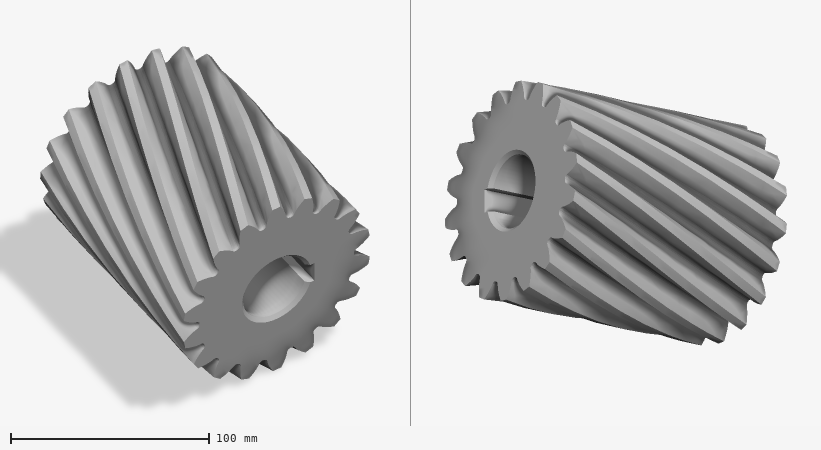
import cadquery as cq
import math

face_width = 131.4
tooth_count = 18
tip_diameter = 113.1
root_radius = 46.5
base_radius = 46.4
flank_start_radius = 47.8
root_floor_width = 0.7
base_gap_angle = 4.9
twist_angle = 53.8
first_gap_angle = 86.5
flank_point_count = 5

bore_radius = 19.0
bore_chamfer = 2.0
keyway_width = 12.1
keyway_reach = 22.6

tip_radius = tip_diameter / 2
pitch_angle = 360.0 / tooth_count


def polar(radius, angle):
    """Point in the YZ plane, with the angle in degrees from +Y toward +Z."""
    return (
        radius * math.cos(math.radians(angle)),
        radius * math.sin(math.radians(angle)),
    )


def half_gap(radius):
    """Half the tooth gap in degrees, which opens outward along involute flanks."""
    pressure_angle = math.acos(base_radius / radius)
    involute = math.tan(pressure_angle) - pressure_angle
    return base_gap_angle / 2 + math.degrees(involute)


def root_fillet_middle():
    """Middle of the fillet from floor to flank, as (radius, angle from the gap middle).

    The fillet is tangent to the floor.
    """
    flank_angle = math.radians(half_gap(flank_start_radius))
    run = flank_start_radius * math.sin(flank_angle) - root_floor_width / 2
    rise = flank_start_radius * math.cos(flank_angle) - root_radius
    fillet_radius = (run**2 + rise**2) / (2 * rise)
    half_sweep = math.atan2(rise, run)
    across = root_floor_width / 2 + fillet_radius * math.sin(half_sweep)
    height = root_radius + fillet_radius * (1 - math.cos(half_sweep))
    return math.hypot(across, height), math.degrees(math.atan2(across, height))


def gear_profile():
    """Closed outline of all the teeth: falling flank, filleted root, rising flank, tip."""
    radius_step = (tip_radius - flank_start_radius) / (flank_point_count - 1)
    radii = [flank_start_radius + i * radius_step for i in range(flank_point_count)]
    tip_half_gap = half_gap(tip_radius)
    floor_end_radius = math.hypot(root_radius, root_floor_width / 2)
    floor_half_angle = math.degrees(math.atan2(root_floor_width / 2, root_radius))
    fillet_middle_radius, fillet_middle_angle = root_fillet_middle()

    profile = cq.Workplane("YZ").moveTo(*polar(tip_radius, first_gap_angle - tip_half_gap))
    for tooth in range(tooth_count):
        gap = first_gap_angle + tooth * pitch_angle
        falling_flank = [polar(r, gap - half_gap(r)) for r in reversed(radii)]
        rising_flank = [polar(r, gap + half_gap(r)) for r in radii]
        floor_start = polar(floor_end_radius, gap - floor_half_angle)
        floor_end = polar(floor_end_radius, gap + floor_half_angle)
        falling_fillet_middle = polar(fillet_middle_radius, gap - fillet_middle_angle)
        rising_fillet_middle = polar(fillet_middle_radius, gap + fillet_middle_angle)
        tip_middle = polar(tip_radius, gap + pitch_angle / 2)
        tip_end = polar(tip_radius, gap + pitch_angle - tip_half_gap)

        profile = profile.spline(falling_flank[1:], includeCurrent=True)
        profile = profile.threePointArc(falling_fillet_middle, floor_start)
        profile = profile.lineTo(*floor_end)
        profile = profile.threePointArc(rising_fillet_middle, rising_flank[0])
        profile = profile.spline(rising_flank[1:], includeCurrent=True)
        profile = profile.threePointArc(tip_middle, tip_end)
    return profile.close()


def chamfered_bore():
    """Through bore, revolved about X, with a 45 degree chamfer at both ends."""
    mouth_radius = bore_radius + bore_chamfer
    return (
        cq.Workplane("XY")
        .polyline([
            (0, 0),
            (0, mouth_radius),
            (bore_chamfer, bore_radius),
            (face_width - bore_chamfer, bore_radius),
            (face_width, mouth_radius),
            (face_width, 0),
        ])
        .close()
        .revolve(360, (0, 0, 0), (1, 0, 0))
    )


def keyway():
    """Straight keyway on the +Y side of the bore, along the full face width."""
    return cq.Workplane("XY").box(
        face_width, keyway_reach, keyway_width, centered=(False, False, True)
    )


gear = gear_profile().twistExtrude(face_width, twist_angle)
result = gear.cut(chamfered_bore()).cut(keyway())